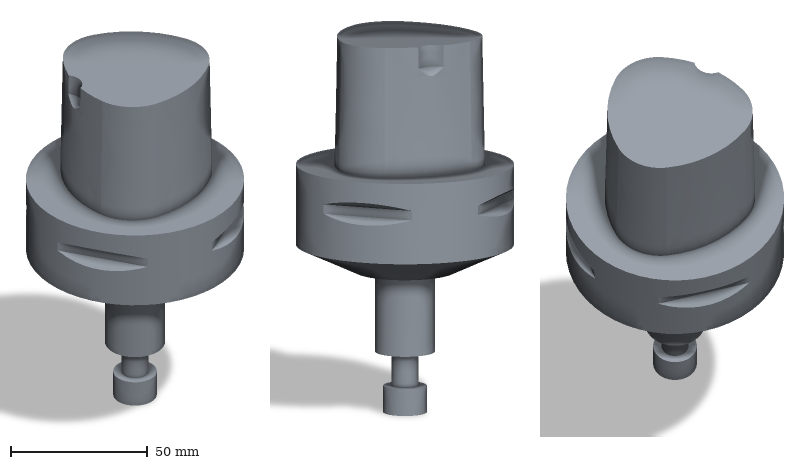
import cadquery as cq
import math

HEAD_TOP = 10.0
NECK_TOP = 22.6
SHANK_TOP = 52.5
CONE_TOP = 62.5
FLANGE_TOP = 92.5
LAND_TOP = FLANGE_TOP + 3.0
TOTAL_HEIGHT = 140.5

HEAD_RADIUS = 16.0 / 2
NECK_RADIUS = 10.0 / 2
SHANK_RADIUS = 22.0 / 2
CONE_SMALL_RADIUS = 18.5
FLANGE_RADIUS = 80.0 / 2

LOBE_CENTRE_DISTANCE = 11.5
LOBE_RADIUS = 17.8
SIDE_DISTANCE = 25.7
TAPER_INSET = 0.91

KEYWAY_RADIUS = 6.2
KEYWAY_AXIS_DISTANCE = 28.2
KEYWAY_DEPTH = 8.0

GROOVE_COUNT = 4
GROOVE_FLOOR_DISTANCE = 36.0
GROOVE_MID_HEIGHT = 80.6
GROOVE_FLOOR_WIDTH = 3.5
GROOVE_FLANK_RISE = 2.4


def turned_body():
    profile = [
        (0, 0),
        (HEAD_RADIUS, 0),
        (HEAD_RADIUS, HEAD_TOP),
        (NECK_RADIUS, HEAD_TOP),
        (NECK_RADIUS, NECK_TOP),
        (SHANK_RADIUS, NECK_TOP),
        (SHANK_RADIUS, SHANK_TOP),
        (CONE_SMALL_RADIUS, SHANK_TOP),
        (FLANGE_RADIUS, CONE_TOP),
        (FLANGE_RADIUS, FLANGE_TOP),
        (0, FLANGE_TOP),
    ]
    return cq.Workplane("XZ").polyline(profile).close().revolve(360, (0, 0), (0, 1))


def polar_point(radius, degrees):
    angle = math.radians(degrees)
    return radius * math.cos(angle), radius * math.sin(angle)


def lobed_outline(workplane, inset):
    """Draw the closed three-lobed outline, offset inward by inset."""
    lobe_x = LOBE_CENTRE_DISTANCE * math.cos(math.radians(30))
    lobe_y = LOBE_CENTRE_DISTANCE * math.sin(math.radians(30))
    height_gap = SIDE_DISTANCE - lobe_y
    side_radius = (lobe_x**2 + height_gap**2 - LOBE_RADIUS**2) / (2 * (height_gap - LOBE_RADIUS))
    blend_angle = math.asin(lobe_x / (side_radius - LOBE_RADIUS))
    lobe_radius = LOBE_RADIUS - inset
    joint_x = lobe_x + lobe_radius * math.sin(blend_angle)
    joint_y = lobe_y + lobe_radius * math.cos(blend_angle)
    joint_distance = math.hypot(joint_x, joint_y)
    joint_angle = math.degrees(math.atan2(joint_x, joint_y))

    outline = workplane.moveTo(*polar_point(joint_distance, -90 - joint_angle))
    for side_angle in (-90, 30, 150):
        outline = outline.threePointArc(
            polar_point(SIDE_DISTANCE - inset, side_angle),
            polar_point(joint_distance, side_angle + joint_angle),
        )
        outline = outline.threePointArc(
            polar_point(LOBE_CENTRE_DISTANCE + lobe_radius, side_angle + 60),
            polar_point(joint_distance, side_angle + 120 - joint_angle),
        )
    return outline.close()


def coupling():
    base = cq.Workplane("XY").workplane(offset=FLANGE_TOP)
    land = lobed_outline(base, 0).extrude(LAND_TOP - FLANGE_TOP)
    taper_start = lobed_outline(cq.Workplane("XY").workplane(offset=LAND_TOP), 0)
    taper_end = taper_start.workplane(offset=TOTAL_HEIGHT - LAND_TOP)
    taper = lobed_outline(taper_end, TAPER_INSET).loft(ruled=True)
    return land.union(taper)


def keyway_cutter():
    shoulder = TOTAL_HEIGHT - KEYWAY_DEPTH
    profile = [
        (0, TOTAL_HEIGHT),
        (KEYWAY_RADIUS, TOTAL_HEIGHT),
        (KEYWAY_RADIUS, shoulder),
        (0, shoulder - KEYWAY_RADIUS),
    ]
    cutter = cq.Workplane("XZ").polyline(profile).close().revolve(360, (0, 0), (0, 1))
    return cutter.translate((0, -KEYWAY_AXIS_DISTANCE, 0))


def groove_cutter(angle):
    outer_distance = 2 * FLANGE_RADIUS - GROOVE_FLOOR_DISTANCE
    floor_half = GROOVE_FLOOR_WIDTH / 2
    mouth_half = floor_half + 2 * GROOVE_FLANK_RISE
    profile = [
        (GROOVE_FLOOR_DISTANCE, GROOVE_MID_HEIGHT - floor_half),
        (outer_distance, GROOVE_MID_HEIGHT - mouth_half),
        (outer_distance, GROOVE_MID_HEIGHT + mouth_half),
        (GROOVE_FLOOR_DISTANCE, GROOVE_MID_HEIGHT + floor_half),
    ]
    cutter = cq.Workplane("XZ").polyline(profile).close().extrude(FLANGE_RADIUS, both=True)
    return cutter.rotate((0, 0, 0), (0, 0, 1), angle)


result = turned_body().union(coupling()).cut(keyway_cutter())
for index in range(GROOVE_COUNT):
    result = result.cut(groove_cutter(45 + index * 360 / GROOVE_COUNT))